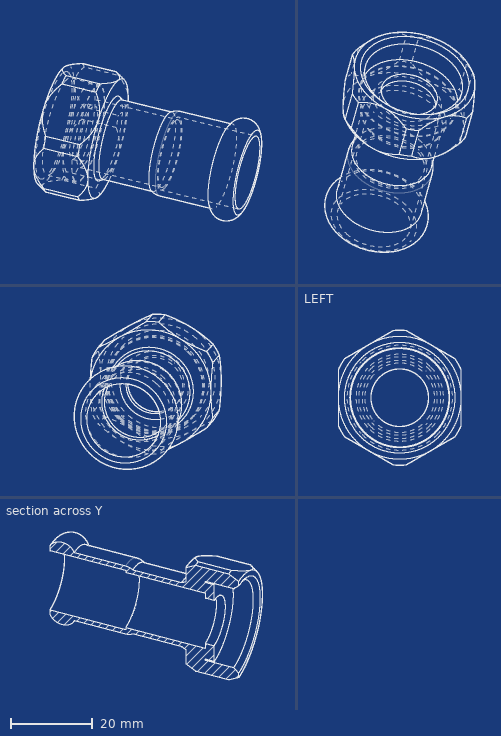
import cadquery as cq
import math

length = 50.0

nut_length = 14.0
across_flats = 30.0
corner_diameter = 33.0
chamfer_angle = 30.0
nut_bore = 24.4
nut_mouth = 27.0
mouth_depth = 1.3
nut_lip_bore = 20.0

flange_face = 6.5
flange_diameter = 24.0
flange_thickness = 2.35
flange_back = flange_face + flange_thickness
flange_bore = 14.0

wall = 1.5
tube_diameter = 20.0
socket_diameter = 21.3
collar_diameter = socket_diameter
collar_end = 15.1
step_start = 28.0
step_end = 29.9

bead_width = 6.5
bead_diameter = 25.7
bead_start = length - bead_width
bead_middle = bead_start + bead_width / 2


def cylinder(diameter, start, end):
    """Solid cylinder on the X axis."""
    return cq.Workplane("YZ", origin=(start, 0, 0)).circle(diameter / 2).extrude(end - start)


def revolve_profile(profile):
    """Turn a profile of (x, radius) in the XY plane about the X axis."""
    return profile.close().revolve(360, (0, 0, 0), (1, 0, 0))


def make_nut():
    corner_radius = corner_diameter / 2
    face_radius = across_flats / 2
    chamfer_length = (corner_radius - face_radius) / math.tan(math.radians(chamfer_angle))
    hexagon_diameter = across_flats / math.cos(math.pi / 6)
    corner_turn = 30
    hexagon = (
        cq.Workplane("YZ")
        .polygon(6, hexagon_diameter)
        .extrude(nut_length)
        .rotate((0, 0, 0), (1, 0, 0), corner_turn)
    )
    envelope = revolve_profile(
        cq.Workplane("XY")
        .moveTo(0, 0)
        .lineTo(0, face_radius)
        .lineTo(chamfer_length, corner_radius)
        .lineTo(nut_length - chamfer_length, corner_radius)
        .lineTo(nut_length, face_radius)
        .lineTo(nut_length, 0)
    )
    cavity = revolve_profile(
        cq.Workplane("XY")
        .moveTo(0, 0)
        .lineTo(0, nut_mouth / 2)
        .lineTo(mouth_depth, nut_bore / 2)
        .lineTo(flange_back, nut_bore / 2)
        .lineTo(flange_back, nut_lip_bore / 2)
        .lineTo(nut_length, nut_lip_bore / 2)
        .lineTo(nut_length, 0)
    )
    return hexagon.intersect(envelope).cut(cavity)


def make_tail():
    step_height = (socket_diameter - tube_diameter) / 2
    step_length = step_end - step_start
    step_radius = (step_length**2 + step_height**2) / (2 * step_height)
    half_angle = math.asin(step_length / step_radius) / 2
    step_middle = (
        step_end - step_radius * math.sin(half_angle),
        socket_diameter / 2 - step_radius * (1 - math.cos(half_angle)),
    )
    return revolve_profile(
        cq.Workplane("XY")
        .moveTo(flange_face, 0)
        .lineTo(flange_face, flange_diameter / 2)
        .lineTo(flange_back, flange_diameter / 2)
        .lineTo(flange_back, collar_diameter / 2)
        .lineTo(nut_length, collar_diameter / 2)
        .lineTo(collar_end, tube_diameter / 2)
        .lineTo(step_start, tube_diameter / 2)
        .threePointArc(step_middle, (step_end, socket_diameter / 2))
        .lineTo(bead_start, socket_diameter / 2)
        .threePointArc((bead_middle, bead_diameter / 2), (length, socket_diameter / 2))
        .lineTo(length, 0)
    )


def make_passage():
    tube_bore = tube_diameter - 2 * wall
    socket_bore = socket_diameter - 2 * wall
    return (
        cylinder(flange_bore, flange_face, flange_back)
        .union(cylinder(tube_bore, flange_back, step_end))
        .union(cylinder(socket_bore, step_end, length))
    )


result = make_nut().union(make_tail()).cut(make_passage())